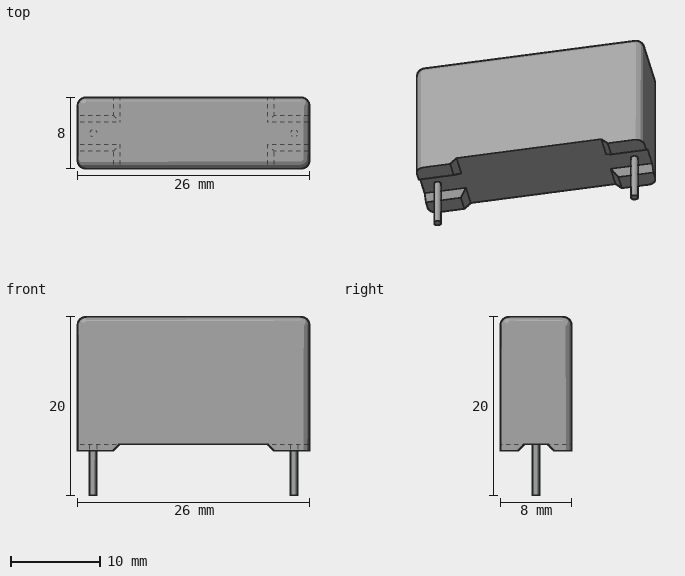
import cadquery as cq


body_length = 26.0
body_width = 8.0
total_height = 20.0
lead_projection = 5.0
body_height = total_height - lead_projection
edge_radius = 1.0

foot_height = 0.73
long_channel_mouth = 18.0
short_channel_mouth = 4.0

lead_diameter = 0.8
lead_pitch = 22.5


def make_body():
    """Box with rounded vertical edges and a rounded top rim."""
    box = cq.Workplane("XY").box(
        body_length, body_width, body_height, centered=(True, True, False)
    )
    return box.edges("|Z or >Z").fillet(edge_radius)


def make_channel(plane, mouth, run):
    """45-degree trapezoidal channel along the plane normal, narrowing upwards."""
    half_mouth = mouth / 2
    half_ceiling = half_mouth - foot_height
    return (
        cq.Workplane(plane)
        .polyline([
            (-half_mouth, 0),
            (half_mouth, 0),
            (half_ceiling, foot_height),
            (-half_ceiling, foot_height),
        ])
        .close()
        .extrude(run / 2, both=True)
    )


def make_leads():
    """Two round wires reaching from the channel ceiling to below the feet."""
    return (
        cq.Workplane("XY", origin=(0, 0, -lead_projection))
        .rarray(lead_pitch, 0.25, 2, 1)
        .circle(lead_diameter / 2)
        .extrude(lead_projection + foot_height)
    )


body = make_body()
body = body.cut(make_channel("XZ", long_channel_mouth, body_width))
body = body.cut(make_channel("YZ", short_channel_mouth, body_length))

result = body.union(make_leads())